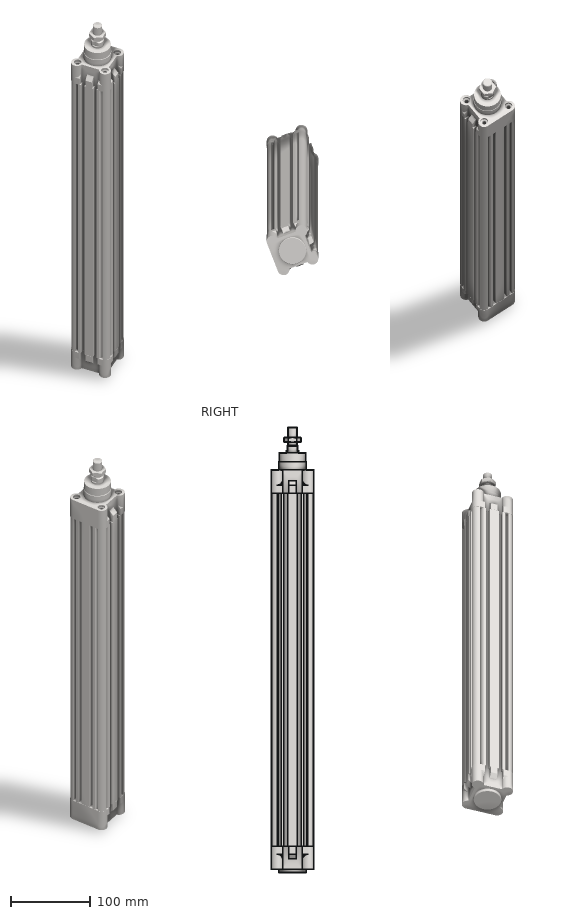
import cadquery as cq
import math


size = 54.0
cap_height = 29.5
tube_height = 446.0
bottom_boss_height = 4.0
top_boss_height = 21.5
rod_projection = 31.0
thread_length = 23.0
cap_top = 2 * cap_height + tube_height
tube_top = cap_height + tube_height
shoulder_z = cap_top + rod_projection

half_size = size / 2
corner_radius = 7.5
corner_center = half_size - corner_radius
web_half = 21.2
web_depth = half_size - web_half

pad_height = 10.0
center_pad_half = 4.5
corner_pad_inner = 12.5

tube_inset = 0.2
tube_half = half_size - tube_inset
rib_half = 6.0
lip_inner = 11.0
lip_outer = 14.5
slot_floor_inner = 17.7
slot_outer = 19.0
slot_depth = 5.0

boss_diameter = 35.0
neck_diameter = 34.0
neck_height = 11.0
boss_chamfer = (boss_diameter - neck_diameter) / 2

screw_offset = 19.0
screw_recess_diameter = 9.5
screw_recess_depth = 3.0
screw_thread_diameter = 6.0
screw_core_diameter = 4.92
screw_hole_depth = 10.0
screw_tip_half_angle = math.radians(59)
screw_tip_depth = screw_core_diameter / 2 / math.tan(screw_tip_half_angle)

rod_diameter = 16.0
thread_diameter = 12.0
thread_core_diameter = 10.65
rod_flats = 13.0
flats_height = 7.0
shoulder_taper_height = 1.2
nut_flats = 19.0
nut_height = 6.0
nut_gap = 4.0
nut_corner_diameter = nut_flats / math.cos(math.pi / 6)
nut_chamfer_angle = math.radians(30)

SIDE_ANGLES = (0, 90, 180, 270)
PAD_ANGLES = (0, 90, 270)


def four_corners(offset):
    return [(x, y) for x in (-offset, offset) for y in (-offset, offset)]


def cylinder(diameter, bottom, height):
    return cq.Workplane("XY").workplane(offset=bottom).circle(diameter / 2).extrude(height)


def side_pad(x_inner, x_outer):
    """Pad on the -Y side of the bottom cap, ending in a 45 degree slope at its lower end."""
    outline = [
        (-web_half, cap_height),
        (-half_size, cap_height),
        (-half_size, cap_height - pad_height),
        (-web_half, cap_height - pad_height - web_depth),
    ]
    profile = cq.Workplane("YZ").workplane(offset=x_inner).polyline(outline).close()
    return profile.extrude(x_outer - x_inner)


def make_cap():
    """Bottom cap: square core, four round columns, pads on three sides and a flush +Y side."""
    cap = cq.Workplane("XY").rect(2 * web_half, 2 * web_half).extrude(cap_height)
    columns = cq.Workplane("XY").pushPoints(four_corners(corner_center)).circle(corner_radius)
    cap = cap.union(columns.extrude(cap_height))
    flush_side = cq.Workplane("XY").rect(2 * corner_center, half_size, centered=(True, False))
    cap = cap.union(flush_side.extrude(cap_height))
    pad_spans = (
        (-corner_center, -corner_pad_inner),
        (-center_pad_half, center_pad_half),
        (corner_pad_inner, corner_center),
    )
    for x_inner, x_outer in pad_spans:
        pad = side_pad(x_inner, x_outer)
        for angle in PAD_ANGLES:
            cap = cap.union(pad.rotate((0, 0, 0), (0, 0, 1), angle))
    return cap


def make_tube():
    """Extruded tube with a plain channel pair and a sensor slot pair along each side."""
    tube = (
        cq.Workplane("XY").workplane(offset=cap_height)
        .rect(2 * tube_half, 2 * tube_half).extrude(tube_height)
        .edges("|Z").fillet(corner_radius)
    )
    channel = [
        (rib_half, tube_half),
        (rib_half, tube_half - web_depth),
        (lip_inner, tube_half - web_depth),
        (lip_inner, tube_half),
    ]
    sensor_slot = [
        (lip_outer, tube_half),
        (slot_floor_inner, tube_half - slot_depth),
        (slot_outer, tube_half - slot_depth),
        (slot_outer, tube_half),
    ]
    for outline in (channel, sensor_slot):
        profile = cq.Workplane("XY").workplane(offset=cap_height).polyline(outline).close()
        groove = profile.extrude(tube_height)
        pair = groove.union(groove.mirror("YZ"))
        for angle in SIDE_ANGLES:
            tube = tube.cut(pair.rotate((0, 0, 0), (0, 0, 1), angle))
    return tube


def make_screw_hole():
    """Recess and threaded hole sunk from Z = 0, as a profile turned about Z."""
    recess_floor = -screw_recess_depth
    thread_chamfer = (screw_thread_diameter - screw_core_diameter) / 2
    hole_floor = recess_floor - screw_hole_depth
    outline = [
        (0, 0),
        (screw_recess_diameter / 2, 0),
        (screw_recess_diameter / 2, recess_floor),
        (screw_thread_diameter / 2, recess_floor),
        (screw_core_diameter / 2, recess_floor - thread_chamfer),
        (screw_core_diameter / 2, hole_floor),
        (0, hole_floor - screw_tip_depth),
    ]
    return cq.Workplane("XZ").polyline(outline).close().revolve(360, (0, 0, 0), (0, 1, 0))


def make_housing():
    bottom_cap = make_cap()
    top_cap = bottom_cap.mirror("XY").translate((0, 0, cap_top))
    housing = make_tube().union(bottom_cap).union(top_cap)

    bottom_boss = cylinder(boss_diameter, -bottom_boss_height, bottom_boss_height)
    housing = housing.union(bottom_boss.faces("<Z").chamfer(boss_chamfer))
    top_boss = cylinder(boss_diameter, cap_top, top_boss_height - neck_height)
    top_boss = top_boss.faces(">Z").chamfer(boss_chamfer)
    neck = cylinder(neck_diameter, cap_top, top_boss_height)
    housing = housing.union(top_boss).union(neck)

    screw_hole = make_screw_hole()
    for x, y in four_corners(screw_offset):
        housing = housing.cut(screw_hole.translate((x, y, cap_top)))
    rod_bore = cylinder(rod_diameter, tube_top, cap_height + top_boss_height)
    return housing.cut(rod_bore)


def make_piston_rod():
    """Rod seated in the top cap, with wrench flats on +-Y and a threaded end."""
    rod = cylinder(rod_diameter, tube_top, shoulder_z - tube_top)
    taper_width = (rod_diameter - thread_diameter) / 2
    rod = rod.faces(">Z").chamfer(shoulder_taper_height, taper_width)
    flats_bottom = shoulder_z - flats_height
    for side in (-1, 1):
        flat_cut = (
            cq.Workplane("XY").workplane(offset=flats_bottom)
            .center(0, side * (rod_flats + rod_diameter) / 2)
            .rect(rod_diameter, rod_diameter)
            .extrude(flats_height)
        )
        rod = rod.cut(flat_cut)
    tip_chamfer = (thread_diameter - thread_core_diameter) / 2
    thread = cylinder(thread_diameter, shoulder_z, thread_length).faces(">Z").chamfer(tip_chamfer)
    return rod.union(thread)


def make_nut():
    """Hexagon nut with flats facing +-X and its corners turned down at both ends."""
    nut_bottom = shoulder_z + nut_gap
    nut = (
        cq.Workplane("XY").workplane(offset=nut_bottom)
        .polygon(6, nut_corner_diameter).extrude(nut_height)
        .rotate((0, 0, 0), (0, 0, 1), 90)
    )
    corner_excess = (nut_corner_diameter - nut_flats) / 2
    corner_limit = cylinder(nut_corner_diameter, nut_bottom, nut_height)
    chamfer_height = corner_excess * math.tan(nut_chamfer_angle)
    corner_limit = corner_limit.faces("<Z or >Z").chamfer(chamfer_height, corner_excess)
    return nut.intersect(corner_limit).cut(cylinder(thread_diameter, nut_bottom, nut_height))


housing = make_housing()
piston_rod = make_piston_rod()
nut = make_nut()

result = cq.Compound.makeCompound([housing.val(), piston_rod.val(), nut.val()])